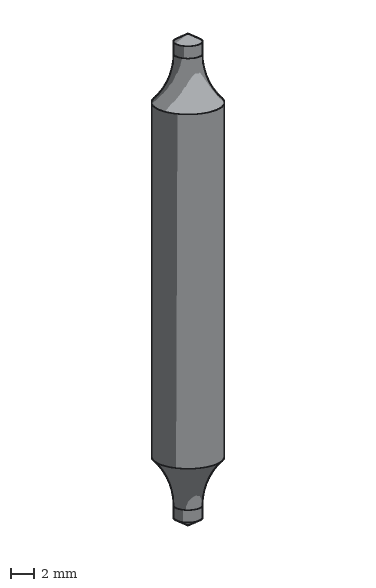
import cadquery as cq
import math

total_length = 45.0
body_diameter = 6.3
pilot_diameter = 2.5

point_angle = 120.0
pilot_straight = 1.12
shoulder_distance = 6.3

body_radius = body_diameter / 2
pilot_radius = pilot_diameter / 2
tip_z = total_length / 2
point_height = pilot_radius / math.tan(math.radians(point_angle / 2))
pilot_end_z = tip_z - point_height
flare_start_z = pilot_end_z - pilot_straight
shoulder_z = tip_z - shoulder_distance


def make_core():
    """Round rod with a conical point at both ends."""
    return (
        cq.Workplane("XZ")
        .moveTo(0, -tip_z)
        .lineTo(pilot_radius, -pilot_end_z)
        .lineTo(pilot_radius, pilot_end_z)
        .lineTo(0, tip_z)
        .close()
        .revolve(360, (0, 0), (0, 1))
    )


def flare_midpoint():
    """Middle point (radius, Z) of the upper flare arc, which is tangent to the core."""
    rise = body_radius - pilot_radius
    run = flare_start_z - shoulder_z
    flare_radius = (rise**2 + run**2) / (2 * rise)
    half_sweep = math.asin(run / flare_radius) / 2
    radius = pilot_radius + flare_radius * (1 - math.cos(half_sweep))
    z = flare_start_z - flare_radius * math.sin(half_sweep)
    return radius, z


def make_sleeve():
    """Cylindrical body around the core, flaring down to the core at both ends."""
    mid_radius, mid_z = flare_midpoint()
    return (
        cq.Workplane("XZ")
        .moveTo(pilot_radius, -flare_start_z)
        .threePointArc((mid_radius, -mid_z), (body_radius, -shoulder_z))
        .lineTo(body_radius, shoulder_z)
        .threePointArc((mid_radius, mid_z), (pilot_radius, flare_start_z))
        .close()
        .revolve(360, (0, 0), (0, 1))
    )


core = make_core()
sleeve = make_sleeve()

result = cq.Compound.makeCompound([core.val(), sleeve.val()])